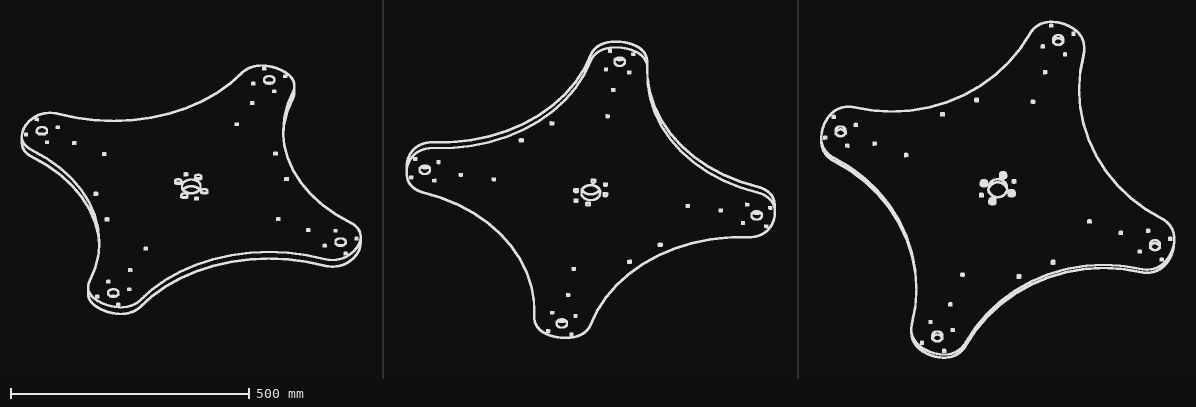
import cadquery as cq
import math

half_width = 297.5
thickness = 20.0
waist = 217.5
scoop_radius = 328.0
shoulder_radius = 50.0
tip_radius = 80.0

arm_hole_place = 250.0
arm_hole_diameter = 22.0
arm_screw_offset = 35.0
arm_screw_diameter = 5.0
diagonal_screw_places = (145.5, 195.5)
diagonal_screw_diameter = 5.5

centre_hole_diameter = 40.0
flange_circle_radius = 31.0
flange_hole_diameter = 8.5
flange_bore_diameter = 13.5
flange_bore_depth = thickness / 2
pin_hole_diameter = 6.5
pin_x = 37.5
side_pin_x = 39.0
side_pin_y = 197.5


def mirrored(x, y):
    """The point and its mirror images in all four quadrants."""
    return [(sx * x, sy * y) for sx in (-1, 1) for sy in (-1, 1)]


def beyond(start, through, length):
    """The point at a given distance from start, on the line from start through another point."""
    reach = math.dist(start, through)
    return tuple(s + (t - s) * length / reach for s, t in zip(start, through))


def quarter_turns(point, turns):
    """The point after counter-clockwise quarter turns about the origin."""
    x, y = point
    for _ in range(turns):
        x, y = -y, x
    return x, y


def plate():
    scoop_centre = (0.0, waist + scoop_radius)
    shoulder_y = half_width - shoulder_radius
    shoulder_x = math.sqrt((scoop_radius + shoulder_radius) ** 2 - (scoop_centre[1] - shoulder_y) ** 2)
    shoulder_centre = (shoulder_x, shoulder_y)
    half_gap = (shoulder_x - shoulder_y) / 2
    setback = math.sqrt(((tip_radius - shoulder_radius) ** 2 - 2 * half_gap**2) / 2)
    tip_place = (shoulder_x + shoulder_y) / 2 - setback
    tip_centre = (tip_place, tip_place)

    upper_scoop_end = beyond(scoop_centre, shoulder_centre, scoop_radius)
    upper_crest = (shoulder_x, half_width)
    upper_tip_end = beyond(tip_centre, shoulder_centre, tip_radius)
    tip_middle = beyond((0.0, 0.0), tip_centre, math.hypot(*tip_centre) + tip_radius)
    lower_scoop_end, lower_crest, lower_tip_end = (
        (y, x) for x, y in (upper_scoop_end, upper_crest, upper_tip_end)
    )
    arcs = [
        ((waist, 0.0), lower_scoop_end),
        (lower_crest, lower_tip_end),
        (tip_middle, upper_tip_end),
        (upper_crest, upper_scoop_end),
    ]

    outline = cq.Workplane("XY").moveTo(lower_scoop_end[0], -lower_scoop_end[1])
    for turns in range(4):
        for middle, end in arcs:
            outline = outline.threePointArc(quarter_turns(middle, turns), quarter_turns(end, turns))
    return outline.close().extrude(thickness)


def drill(body, places, diameter):
    return body.faces(">Z").workplane(origin=(0, 0, thickness)).pushPoints(places).hole(diameter)


def arm_holes(body):
    body = drill(body, mirrored(arm_hole_place, arm_hole_place), arm_hole_diameter)
    for step in (-arm_screw_offset, arm_screw_offset):
        shifted = arm_hole_place + step
        body = drill(body, mirrored(shifted, arm_hole_place), arm_screw_diameter)
        body = drill(body, mirrored(arm_hole_place, shifted), arm_screw_diameter)
    for place in diagonal_screw_places:
        body = drill(body, mirrored(place, place), diagonal_screw_diameter)
    return body


def centre_holes(body):
    body = drill(body, [(0.0, 0.0)], centre_hole_diameter)
    flange_place = flange_circle_radius * math.sqrt(0.5)
    top = body.faces(">Z").workplane(origin=(0, 0, thickness))
    body = top.pushPoints(mirrored(flange_place, flange_place)).cboreHole(
        flange_hole_diameter, flange_bore_diameter, flange_bore_depth
    )
    pin_places = [(pin_x, 0.0), (-pin_x, 0.0)]
    return drill(body, pin_places + mirrored(side_pin_x, side_pin_y), pin_hole_diameter)


result = centre_holes(arm_holes(plate()))